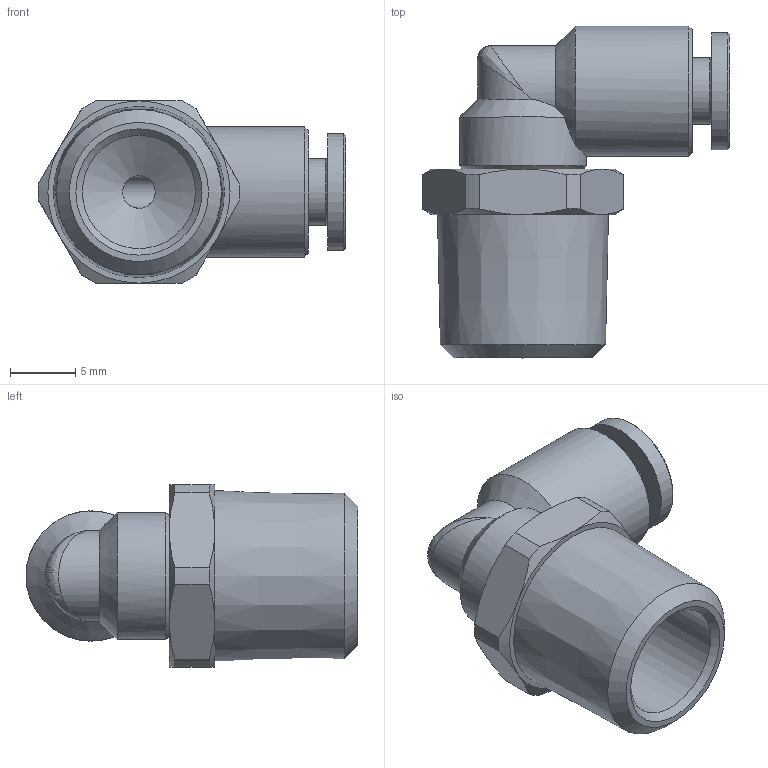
import cadquery as cq
import math


elbow_radius = 3.5
elbow_corner_fillet = 1.0

collar_radius = 4.875
collar_top_y = -2.0
collar_chamfer = 0.25

hex_sides = 6
hex_across_flats = 14.0
hex_corner_diameter = 15.5
hex_top_y = -6.0
hex_thickness = 3.5
hex_chamfer_angle = 30.0

thread_length = 11.0
thread_start_radius = 6.57
thread_end_radius = 6.345
thread_chamfer = 1.0

bore_radius = 4.35
bore_depth = 10.0
bore_chamfer = 0.5
bore_cone_half_angle = 59.0
passage_radius = 1.25

socket_radius = 5.0
socket_start_x = 4.0
socket_end_x = 13.0
socket_end_chamfer = 0.25

button_neck_radius = 2.55
button_neck_flare = 0.15
button_radius = 4.5
button_start_x = 14.5
button_end_x = 15.9
button_chamfer = 0.15

elbow_reach = socket_start_x
hex_bottom_y = hex_top_y - hex_thickness
thread_end_y = hex_bottom_y - thread_length
collar_cone_top_y = collar_top_y + (collar_radius - elbow_radius)
socket_cone_start_x = socket_start_x - (socket_radius - elbow_radius)


def turned_about_y(profile):
    """Solid of revolution about Y from (radius, y) points; both ends close on the axis."""
    points = [(0, profile[0][1])] + profile + [(0, profile[-1][1])]
    return cq.Workplane("XY").polyline(points).close().revolve(360, (0, 0, 0), (0, 1, 0))


def turned_about_x(profile):
    """Solid of revolution about X from (x, radius) points; both ends close on the axis."""
    points = [(profile[0][0], 0)] + profile + [(profile[-1][0], 0)]
    return cq.Workplane("XY").polyline(points).close().revolve(360, (0, 0, 0), (1, 0, 0))


def extruded_both_ways(outline):
    """Prism through the elbow, along Z, from (x, y) points."""
    return cq.Workplane("XY").polyline(outline).close().extrude(elbow_reach, both=True)


def elbow_leg(direction):
    """Cylinder along the given direction, centred on the origin."""
    start = direction.multiply(-elbow_reach)
    return cq.Workplane(cq.Solid.makeCylinder(elbow_radius, 2 * elbow_reach, start, direction))


def make_elbow():
    """Two equal cylinders mitred at 45 degrees, with the outer mitre edge rounded."""
    reach = elbow_reach
    stem_leg = elbow_leg(cq.Vector(0, 1, 0))
    tube_leg = elbow_leg(cq.Vector(1, 0, 0))
    stem_side = extruded_both_ways([(-reach, reach), (-reach, -reach), (reach, -reach)])
    inner_quadrant = extruded_both_ways([(0, 0), (reach, 0), (reach, -reach), (0, -reach)])

    mitred = stem_leg.intersect(stem_side).union(tube_leg.cut(stem_side))
    mitre_corner = cq.selectors.NearestToPointSelector((-elbow_radius, elbow_radius, 0))
    outer_part = (
        mitred.cut(inner_quadrant)
        .edges("%ELLIPSE")
        .edges(mitre_corner)
        .fillet(elbow_corner_fillet)
    )
    inner_part = stem_leg.union(tube_leg).intersect(inner_quadrant)
    return outer_part.union(inner_part)


def make_collar():
    """Collar with a cone up to the elbow and a small chamfer down to the hex."""
    return turned_about_y([
        (elbow_radius, collar_cone_top_y),
        (collar_radius, collar_top_y),
        (collar_radius, hex_top_y + collar_chamfer),
        (collar_radius - collar_chamfer, hex_top_y),
    ])


def make_hex():
    """Hex with rounded corners, chamfered on both faces down to its flats."""
    flat_radius = hex_across_flats / 2
    corner_radius = hex_corner_diameter / 2
    chamfer_height = (corner_radius - flat_radius) * math.tan(math.radians(hex_chamfer_angle))
    across_corners = hex_across_flats / math.cos(math.pi / hex_sides)
    prism = (
        cq.Workplane("XZ", origin=(0, hex_top_y, 0))
        .polygon(hex_sides, across_corners)
        .extrude(hex_thickness)
    )
    envelope = turned_about_y([
        (flat_radius, hex_top_y),
        (corner_radius, hex_top_y - chamfer_height),
        (corner_radius, hex_bottom_y + chamfer_height),
        (flat_radius, hex_bottom_y),
    ])
    return prism.intersect(envelope)


def make_thread():
    """Plain tapered thread body with a 45 degree lead-in chamfer."""
    return turned_about_y([
        (thread_start_radius, hex_bottom_y),
        (thread_end_radius, thread_end_y + thread_chamfer),
        (thread_end_radius - thread_chamfer, thread_end_y),
    ])


def make_socket():
    """Tube socket with a cone down to the elbow and a small chamfer at its mouth."""
    return turned_about_x([
        (socket_cone_start_x, elbow_radius),
        (socket_start_x, socket_radius),
        (socket_end_x - socket_end_chamfer, socket_radius),
        (socket_end_x, socket_radius - socket_end_chamfer),
    ])


def make_button():
    """Release button: a neck flared into a flange, which is chamfered on its outer face."""
    return turned_about_x([
        (socket_end_x, button_neck_radius),
        (button_start_x - button_neck_flare, button_neck_radius),
        (button_start_x, button_neck_radius + button_neck_flare),
        (button_start_x, button_radius),
        (button_end_x - button_chamfer, button_radius),
        (button_end_x, button_radius - button_chamfer),
    ])


def make_passages():
    """Chamfered thread bore, coned down to a narrow passage that turns out through the button."""
    cone_base_y = thread_end_y + bore_depth
    cone_height = (bore_radius - passage_radius) / math.tan(math.radians(bore_cone_half_angle))
    stem_bore = turned_about_y([
        (bore_radius + bore_chamfer, thread_end_y),
        (bore_radius, thread_end_y + bore_chamfer),
        (bore_radius, cone_base_y),
        (passage_radius, cone_base_y + cone_height),
        (passage_radius, 0),
    ])
    tube_bore = turned_about_x([(-passage_radius, passage_radius), (button_end_x, passage_radius)])
    return stem_bore.union(tube_bore)


result = (
    make_elbow()
    .union(make_collar())
    .union(make_hex())
    .union(make_thread())
    .union(make_socket())
    .union(make_button())
    .cut(make_passages())
)